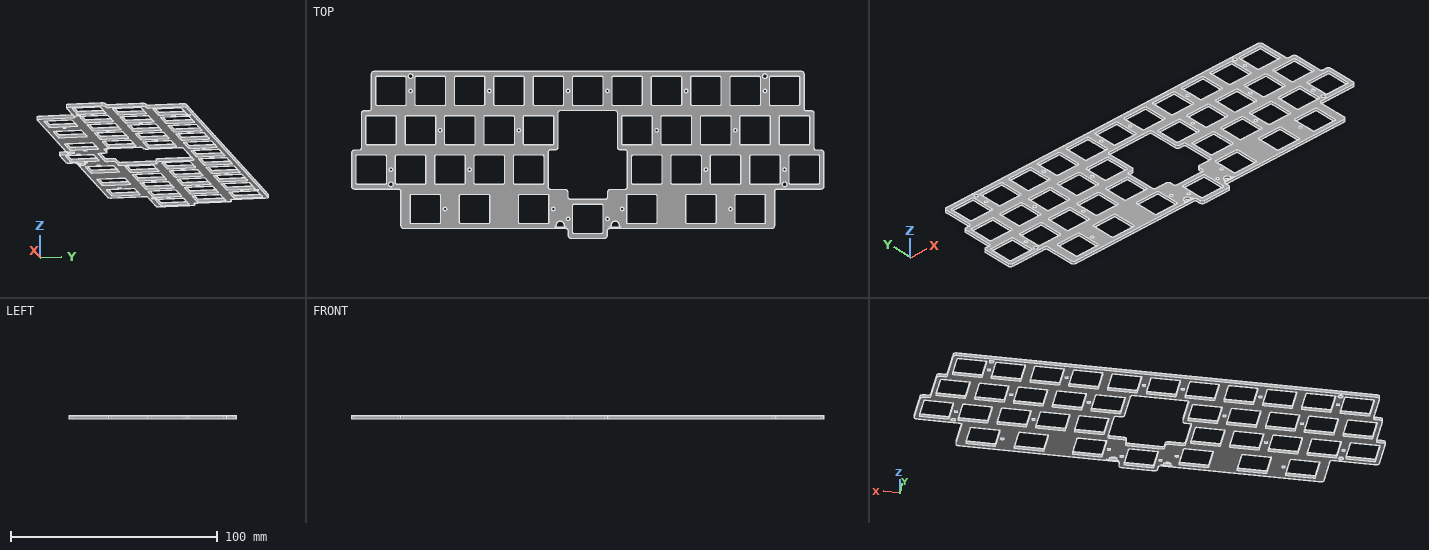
import cadquery as cq
import math

unit = 19.05
thickness = 1.6
outer_corner_radius = 1.5
inner_corner_radius = 1.0
opening_width = 14.6
opening_depth = 14.0
opening_radius = 0.5
pin_hole_diameter = 1.6
mount_hole_diameter = 2.2
mount_hole_inset = 2.4
thumb_drop = unit / 4

relief_radius = 1.9
relief_flare_radius = 1.0
relief_offset = 13.3
relief_wall = 0.7

row_count = 4
plate_depth = row_count * unit + thumb_drop
top_edge = plate_depth / 2
row_edges = [top_edge - row * unit for row in range(row_count + 1)]
row_centers = [edge - unit / 2 for edge in row_edges[:row_count]]
bottom_row_edge = row_edges[-1]
thumb_center = row_centers[-1] - thumb_drop

row_half_widths = [5.5 * unit, 5.75 * unit, 6 * unit, 4.75 * unit]
tab_half_width = unit / 2
window_half_widths = [0.75 * unit, unit, unit / 2]
window_edges = [row_edges[1], row_edges[2], row_edges[3], row_edges[3] - thumb_drop]

row_columns = [
    [1, 2, 3, 4, 5],
    [1.25, 2.25, 3.25, 4.25, 5.25],
    [1.5, 2.5, 3.5, 4.5, 5.5],
    [1.375, 2.875, 4.125],
]
row_pins = [
    [0.5, 2.5, 4.5],
    [1.75, 3.75],
    [3, 5],
    [0.875, 3.625],
]


def mirrored(points):
    """Return the points together with their copies on the -X side."""
    return points + [(-x, y) for x, y in points]


def stepped_prism(half_widths, edges, convex_radius, concave_radius):
    """Prism, symmetric in X, whose half width changes at each horizontal edge."""
    side = []
    for index, half_width in enumerate(half_widths):
        side.append((half_width, edges[index]))
        side.append((half_width, edges[index + 1]))
    outline = side + [(-x, y) for x, y in reversed(side)]
    rounded = (
        cq.Workplane("XY")
        .polyline(outline)
        .close()
        .offset2D(-convex_radius)
        .offset2D(convex_radius + concave_radius)
        .offset2D(-concave_radius)
    )
    return rounded.extrude(thickness)


def hole_cutter(points, diameter):
    return cq.Workplane("XY").pushPoints(points).circle(diameter / 2).extrude(thickness)


def switch_cutter():
    points = [(0, row_centers[0]), (0, thumb_center)]
    for columns, y in zip(row_columns, row_centers):
        points += mirrored([(column * unit, y) for column in columns])
    openings = cq.Workplane("XY").pushPoints(points).rect(opening_width, opening_depth)
    return openings.extrude(thickness).edges("|Z").fillet(opening_radius)


def pin_hole_cutter():
    points = mirrored([(unit / 2, thumb_center)])
    for columns, y in zip(row_pins, row_centers):
        points += mirrored([(column * unit, y) for column in columns])
    return hole_cutter(points, pin_hole_diameter)


def mount_hole_cutter():
    upper = (4.5 * unit, row_edges[0] - mount_hole_inset)
    lower = (5 * unit, row_edges[3] + mount_hole_inset)
    return hole_cutter(mirrored([upper, lower]), mount_hole_diameter)


def relief_cutter(side):
    x = side * relief_offset
    base_y = bottom_row_edge + relief_wall
    arch_y = base_y + relief_flare_radius
    base_half_width = relief_radius + relief_flare_radius
    flare_rise = relief_flare_radius * (1 - math.sqrt(0.5))
    flare_x = base_half_width - relief_flare_radius * math.sqrt(0.5)
    profile = (
        cq.Workplane("XY")
        .moveTo(x - base_half_width, base_y)
        .lineTo(x + base_half_width, base_y)
        .threePointArc((x + flare_x, base_y + flare_rise), (x + relief_radius, arch_y))
        .threePointArc((x, arch_y + relief_radius), (x - relief_radius, arch_y))
        .threePointArc((x - flare_x, base_y + flare_rise), (x - base_half_width, base_y))
        .close()
    )
    return profile.extrude(thickness)


plate = stepped_prism(
    row_half_widths + [tab_half_width],
    row_edges + [bottom_row_edge - thumb_drop],
    outer_corner_radius,
    inner_corner_radius,
)
window = stepped_prism(window_half_widths, window_edges, inner_corner_radius, outer_corner_radius)
plate = plate.cut(window)
plate = plate.cut(switch_cutter())
plate = plate.cut(pin_hole_cutter())
plate = plate.cut(mount_hole_cutter())
for side in (-1, 1):
    plate = plate.cut(relief_cutter(side))

result = plate